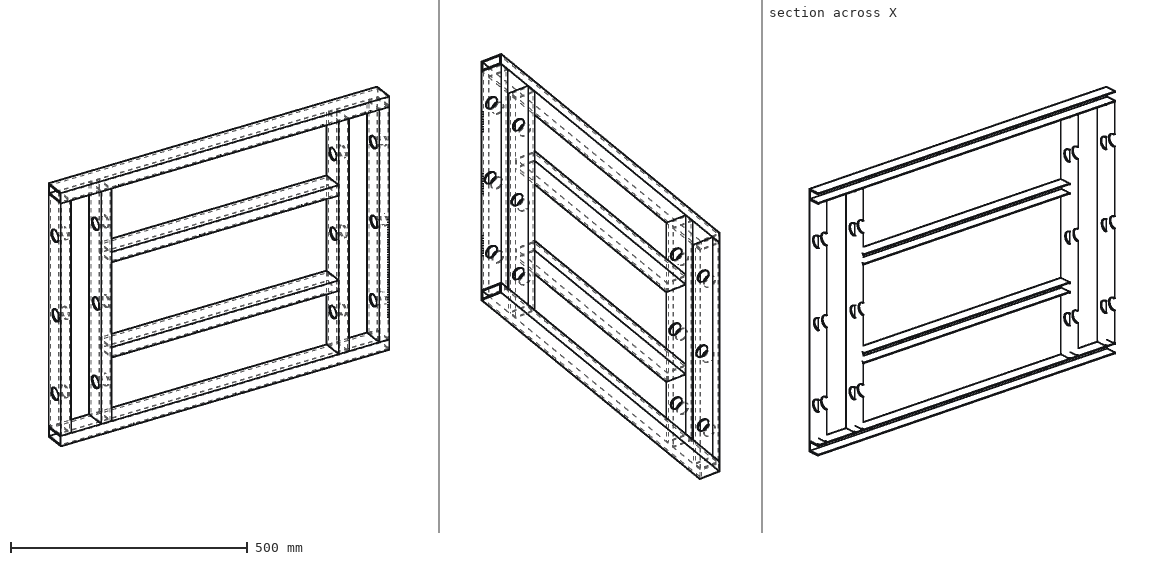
import cadquery as cq

FRAME_LENGTH = 813.0
FRAME_HEIGHT = 610.0

TUBE_WIDTH = 50.0
TUBE_THICKNESS = 25.0
WALL = 3.0

POST_SPACING = 100.0
CROSSBAR_HEIGHT = 115.0

HOLE_DIAMETER = 28.5
HOLE_SPACING = 190.0
MIDDLE_HOLE_SHIFT = 3.0

RAIL_HEIGHT = (FRAME_HEIGHT - TUBE_THICKNESS) / 2
POST_LENGTH = FRAME_HEIGHT - 2 * TUBE_THICKNESS
END_POST_Y = (FRAME_LENGTH - TUBE_THICKNESS) / 2
INNER_POST_Y = END_POST_Y - POST_SPACING
CROSSBAR_LENGTH = 2 * INNER_POST_Y - TUBE_THICKNESS


def horizontal_tube(length, height):
    """Open-ended tube along Y, centred on the frame at the given Z."""
    outside = cq.Workplane("XY").box(TUBE_WIDTH, length, TUBE_THICKNESS)
    bore = cq.Workplane("XY").box(TUBE_WIDTH - 2 * WALL, length, TUBE_THICKNESS - 2 * WALL)
    return outside.cut(bore).translate((0, 0, height))


def rail(height):
    """Top or bottom rail over the whole frame length."""
    return horizontal_tube(FRAME_LENGTH, height)


def crossbar(height):
    """Crossbar fitted between the two inner posts."""
    return horizontal_tube(CROSSBAR_LENGTH, height)


def post(y):
    """Open-ended upright tube between the rails, with three holes through it along Y."""
    outside = cq.Workplane("XY").box(TUBE_WIDTH, TUBE_THICKNESS, POST_LENGTH)
    bore = cq.Workplane("XY").box(TUBE_WIDTH - 2 * WALL, TUBE_THICKNESS - 2 * WALL, POST_LENGTH)
    hole_centres = [(0, -HOLE_SPACING), (MIDDLE_HOLE_SHIFT, 0), (0, HOLE_SPACING)]
    holes = (
        cq.Workplane("XZ")
        .pushPoints(hole_centres)
        .circle(HOLE_DIAMETER / 2)
        .extrude(TUBE_THICKNESS, both=True)
    )
    return outside.cut(bore).cut(holes).translate((0, y, 0))


rails = [rail(z) for z in (-RAIL_HEIGHT, RAIL_HEIGHT)]
posts = [post(y) for y in (-END_POST_Y, -INNER_POST_Y, INNER_POST_Y, END_POST_Y)]
crossbars = [crossbar(z) for z in (-CROSSBAR_HEIGHT, CROSSBAR_HEIGHT)]

result = cq.Compound.makeCompound([member.val() for member in rails + posts + crossbars])